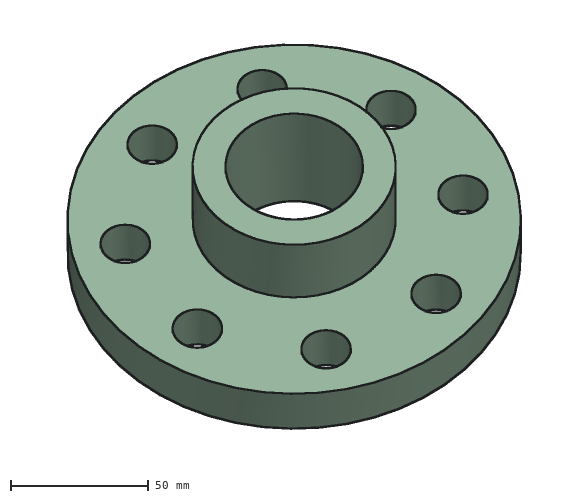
import cadquery as cq

flange_diameter = 165.0
flange_thickness = 20.0
hub_diameter = 74.0
total_height = 50.0
bore_diameter = 50.0
bolt_circle_diameter = 125.0
bolt_hole_diameter = 18.0
bolt_hole_count = 8


def make_body():
    """Round flange with a concentric hub rising from its top face."""
    flange = cq.Workplane("XY").circle(flange_diameter / 2).extrude(flange_thickness)
    hub = cq.Workplane("XY").circle(hub_diameter / 2).extrude(total_height)
    return flange.union(hub)


def make_bore():
    """Cylinder that opens the hub and flange from end to end."""
    return cq.Workplane("XY").circle(bore_diameter / 2).extrude(total_height)


def make_bolt_holes():
    """Evenly spaced through holes around the flange, the first on the +X axis."""
    return (
        cq.Workplane("XY")
        .polarArray(bolt_circle_diameter / 2, 0, 360, bolt_hole_count)
        .circle(bolt_hole_diameter / 2)
        .extrude(flange_thickness)
    )


result = make_body().cut(make_bore()).cut(make_bolt_holes())